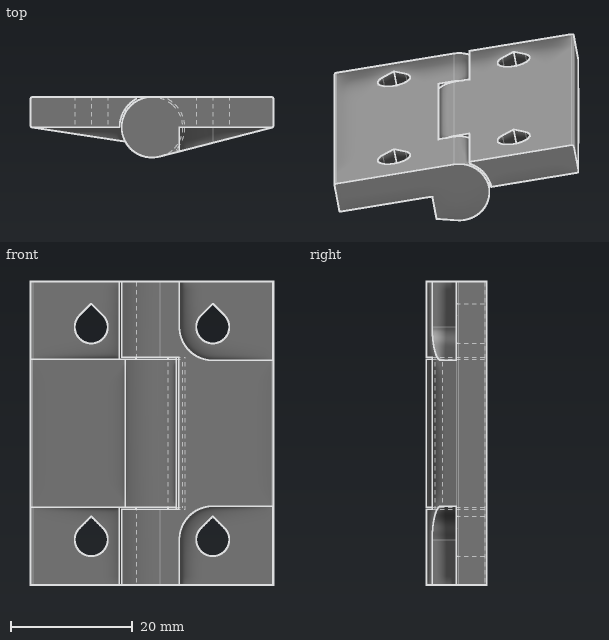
import cadquery as cq
import math

height = 50.0
half_width = 20.0
barrel_radius = 5.0
plate_front_y = 0.0
plate_back_y = barrel_radius
edge_radius = 0.35

groove_radius = barrel_radius + 0.35
groove_wall_x = 2.6
notch_half_height = 12.5
knuckle_half_height = 12.2

knuckle_meet_x = -4.4
knuckle_meet_y = -math.sqrt(barrel_radius**2 - knuckle_meet_x**2)
tangent_x = barrel_radius**2 / half_width
tangent_y = -math.sqrt(barrel_radius**2 - tangent_x**2)

lip_outer_x = 4.4
lip_inner_x = 3.95
lip_outer_y = tangent_y * (half_width - lip_outer_x) / (half_width - tangent_x)
lip_inner_y = -math.sqrt(groove_radius**2 - lip_inner_x**2)

hole_x = 10.0
hole_z = 17.5
hole_radius = 2.7
pocket_radius = 5.5


def extrude_centered(outline, half_height):
    """Extrude a closed XY outline symmetrically about the middle of the hinge."""
    return outline.extrude(half_height, both=True)


def box_between(x_range, y_range, z_range):
    """Box given by its lower and upper limits along each axis."""
    sizes = [high - low for low, high in (x_range, y_range, z_range)]
    corner = (x_range[0], y_range[0], z_range[0])
    return cq.Workplane("XY").box(*sizes, centered=False).translate(corner)


def cylinder(radius, half_height):
    """Cylinder on the hinge axis, centered on the middle of the hinge."""
    return extrude_centered(cq.Workplane("XY").circle(radius), half_height)


def plate(side):
    """Flat plate from the hinge axis to the outer edge; side is -1 (left) or 1 (right)."""
    x_range = sorted((0.0, side * half_width))
    body = box_between(x_range, (plate_front_y, plate_back_y), (-height / 2, height / 2))
    outer_edges = "<X" if side < 0 else ">X"
    return body.faces(outer_edges).edges("|Z").fillet(edge_radius)


def wedge(side, inner_x, inner_y, half_height):
    """Sloped thickening that tapers from the barrel to the outer edge of a plate."""
    outline = cq.Workplane("XY").polyline([
        (side * half_width, plate_front_y),
        (side * half_width, plate_back_y),
        (0, plate_back_y),
        (0, plate_front_y),
        (inner_x, inner_y),
    ]).close()
    body = extrude_centered(outline, half_height)
    outer_edges = "<X" if side < 0 else ">X"
    return body.faces(outer_edges).edges("|Z").fillet(edge_radius)


def teardrop_holes(side):
    """Two through holes whose 45-degree flanks meet in a point towards +Z."""
    flank = hole_radius / math.sqrt(2)
    tip = hole_radius * math.sqrt(2)
    plane = cq.Workplane("XZ", origin=(0, plate_back_y, 0))
    holes = (
        plane.pushPoints([(side * hole_x, hole_z), (side * hole_x, -hole_z)])
        .circle(hole_radius).extrude(2 * barrel_radius)
    )
    for center_z in (hole_z, -hole_z):
        point = (
            plane.center(side * hole_x, center_z)
            .polyline([(0, 0), (-flank, flank), (0, tip), (flank, flank)]).close()
            .extrude(2 * barrel_radius)
        )
        holes = holes.union(point)
    return holes


def groove(side, half_height):
    """Clearance around the barrel, squared off at the back on the given side."""
    wall = box_between(
        sorted((0.0, side * groove_wall_x)), (0.0, plate_back_y), (-half_height, half_height)
    )
    return cylinder(groove_radius, half_height).union(wall)


def front_pockets():
    """Corner recesses with one rounded inner corner that bare the right plate's screw flats."""
    inner_x = hole_x - pocket_radius
    inner_z = hole_z - pocket_radius
    diagonal = pocket_radius / math.sqrt(2)
    upper = (
        cq.Workplane("XZ")
        .moveTo(inner_x, height / 2)
        .lineTo(inner_x, hole_z)
        .threePointArc((hole_x - diagonal, hole_z - diagonal), (hole_x, inner_z))
        .lineTo(half_width, inner_z)
        .lineTo(half_width, height / 2)
        .close().extrude(barrel_radius)
    )
    return upper.union(upper.mirror("XY"))


def groove_lip():
    """Opening of the right leaf's groove through the sloped face, with a blunted edge."""
    outline = cq.Workplane("XY").polyline([
        (0, 0),
        (0, -groove_radius),
        (lip_outer_x, -groove_radius),
        (lip_outer_x, lip_outer_y),
        (lip_inner_x, lip_inner_y),
    ]).close()
    return extrude_centered(outline, notch_half_height)


def make_left_leaf():
    """Left leaf with the single middle knuckle."""
    outer_clearance = groove(-1, height / 2).cut(
        box_between(
            (-half_width, half_width),
            (-2 * barrel_radius, 2 * barrel_radius),
            (-knuckle_half_height, knuckle_half_height),
        )
    )
    return (
        plate(-1)
        .union(wedge(-1, knuckle_meet_x, knuckle_meet_y, knuckle_half_height))
        .cut(outer_clearance)
        .union(cylinder(barrel_radius, knuckle_half_height))
        .cut(teardrop_holes(-1))
    )


def make_right_leaf():
    """Right leaf with the two end knuckles and the notch for the middle knuckle."""
    return (
        plate(1)
        .union(wedge(1, tangent_x, tangent_y, height / 2))
        .union(cylinder(barrel_radius, height / 2))
        .cut(front_pockets())
        .cut(groove(1, notch_half_height))
        .cut(groove_lip())
        .cut(teardrop_holes(1))
    )


left_leaf = make_left_leaf()
right_leaf = make_right_leaf()

result = cq.Compound.makeCompound([left_leaf.solids().val(), right_leaf.solids().val()])